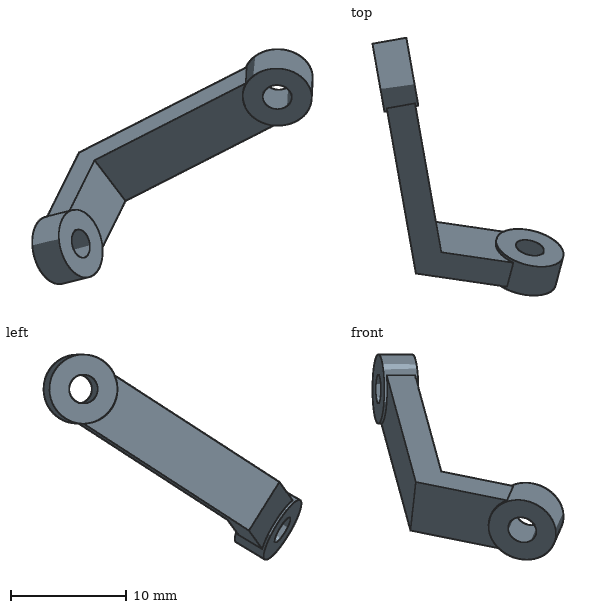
import cadquery as cq

YAW = 10.0
PITCH = 32.5
BEND = 21.4

BAR_HEIGHT = 5.0
BAR_THICKNESS = 2.5
LONG_REACH = 18.9
SHORT_REACH = 9.8

EYE_DIAMETER = 6.0
EYE_WIDTH = 3.0
HOLE_DIAMETER = 2.5


def cross_cylinder(diameter, length):
    """Cylinder centred on the origin, with its axis along Y."""
    return cq.Workplane("XZ").circle(diameter / 2).extrude(length / 2, both=True)


def straight_arm(reach, side):
    """Arm along +X with its outer edge on the X axis and its bar on the given side (+1 or -1) in Y.

    The bar runs from the outer corner of the bend to the middle of the eye.
    """
    bar = cq.Workplane("XY").box(reach, BAR_THICKNESS, BAR_HEIGHT, centered=(False, True, True))
    eye = cross_cylinder(EYE_DIAMETER, EYE_WIDTH).translate((reach, 0, 0))
    hole = cross_cylinder(HOLE_DIAMETER, EYE_WIDTH).translate((reach, 0, 0))
    arm = bar.union(eye).cut(hole)
    return arm.translate((0, side * BAR_THICKNESS / 2, 0))


ORIGIN = (0, 0, 0)
X_AXIS = (1, 0, 0)
Z_AXIS = (0, 0, 1)
LONG_HEADING = 90.0

long_arm = straight_arm(LONG_REACH, -1).rotate(ORIGIN, Z_AXIS, LONG_HEADING)
short_arm = straight_arm(SHORT_REACH, 1).rotate(ORIGIN, Z_AXIS, -BEND)
part = long_arm.union(short_arm)
result = part.rotate(ORIGIN, X_AXIS, PITCH).rotate(ORIGIN, Z_AXIS, YAW)